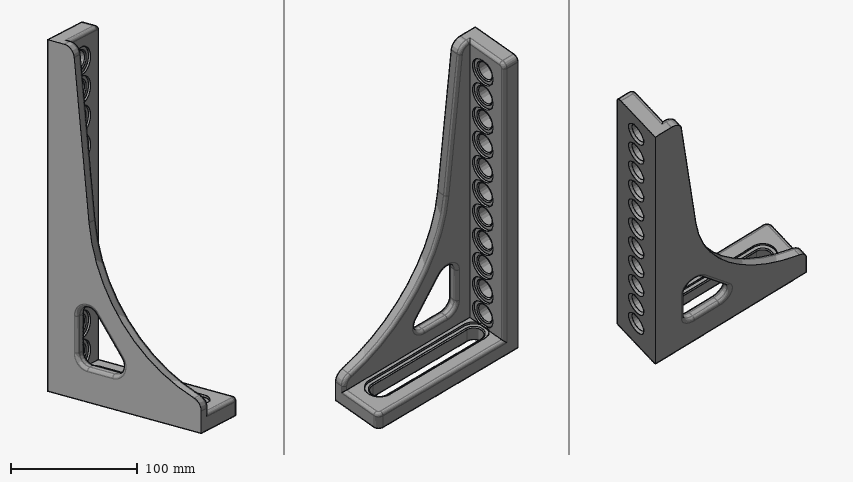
import cadquery as cq
import math

height = 300.0
length = height / 2
width = height / 6

wall_thickness = 15.0
web_thickness = 10.0
outer_corner_radius = 5.0
edge_fillet = 3.0

slope_angle = math.radians(6.0)
sweep_radius = 147.0
sweep_center_x = 186.5
sweep_center_z = 169.0
web_corner_radius = 10.0

hole_count = 11
hole_diameter = 16.0
hole_countersink = 2.0
hole_pitch = height / 12
top_hole_offset = 22.8

slot_width = hole_diameter
slot_length = 117.0

recess_margin = 4.0
recess_depth = 2.0
recess_lip_chamfer = 1.0

window_inset = 39.0
window_span_x = 24.5
window_span_z = 31.5
window_corner_radius = 10.0


def make_web():
    """Side web, lying on y = 0 and filling the angle between plate and foot."""
    tangent_x = sweep_center_x - sweep_radius * math.cos(slope_angle)
    tangent_z = sweep_center_z - sweep_radius * math.sin(slope_angle)
    top_x = tangent_x - (height - tangent_z) * math.tan(slope_angle)
    toe_angle = math.acos((sweep_center_x - length) / sweep_radius)
    toe_z = sweep_center_z - sweep_radius * math.sin(toe_angle)
    middle_angle = (slope_angle + toe_angle) / 2
    arc_middle = (
        sweep_center_x - sweep_radius * math.cos(middle_angle),
        sweep_center_z - sweep_radius * math.sin(middle_angle),
    )
    web = (
        cq.Workplane("XZ")
        .lineTo(length, 0)
        .lineTo(length, toe_z)
        .threePointArc(arc_middle, (tangent_x, tangent_z))
        .lineTo(top_x, height)
        .lineTo(0, height)
        .close()
        .extrude(-web_thickness)
    )
    middle_y = web_thickness / 2
    brow_edge = cq.selectors.NearestToPointSelector((top_x, middle_y, height))
    toe_edge = cq.selectors.NearestToPointSelector((length, middle_y, toe_z))
    return web.edges(brow_edge + toe_edge).fillet(web_corner_radius)


def make_plate():
    """Upright plate with its free top corner rounded."""
    plate = cq.Workplane("XY").box(wall_thickness, width, height, centered=False)
    return plate.edges("|X and >Y and >Z").fillet(outer_corner_radius)


def make_foot():
    """Horizontal foot with its free end corner rounded."""
    foot = cq.Workplane("XY").box(length, width, wall_thickness, centered=False)
    return foot.edges("|Z and >X and >Y").fillet(outer_corner_radius)


def round_rim(body):
    """Round the outer border of the three inner faces, keeping the inside corners between them sharp."""
    inner_planes = [
        cq.Plane(origin=(wall_thickness, 0, 0), normal=(1, 0, 0)),
        cq.Plane(origin=(0, web_thickness, 0), normal=(0, 1, 0)),
        cq.Plane(origin=(0, 0, wall_thickness), normal=(0, 0, 1)),
    ]
    tolerance = 0.001
    edges = []
    for face in body.faces("%PLANE").vals():
        for plane in inner_planes:
            facing = (face.normalAt() - plane.zDir).Length < tolerance
            if facing and abs(plane.toLocalCoords(face.Center()).z) < tolerance:
                edges += face.Edges()
    rim = [edge for edge in edges if sum(edge.isSame(other) for other in edges) == 1]
    return body.newObject(rim).fillet(edge_fillet)


def make_hole(z):
    """Cutter for one plate hole: countersunk outside, recessed with a chamfered lip inside."""
    radius = hole_diameter / 2
    lip_end = wall_thickness - recess_depth
    lip_start = lip_end - recess_lip_chamfer
    half_section = [
        (0, 0),
        (0, radius + hole_countersink),
        (hole_countersink, radius),
        (lip_start, radius),
        (lip_end, radius + recess_lip_chamfer),
        (lip_end, radius + recess_margin),
        (wall_thickness, radius + recess_margin),
        (wall_thickness, 0),
    ]
    cutter = cq.Workplane("XY").polyline(half_section).close().revolve(360, (0, 0), (1, 0))
    return cutter.translate((0, width / 2, z))


def make_slot():
    """Cutter for the foot slot, recessed with a chamfered lip on the upper side."""

    def slot_outline(z, margin):
        plane = cq.Workplane("XY", origin=(length / 2, width / 2, z))
        return plane.slot2D(slot_length + 2 * margin, slot_width + 2 * margin)

    lip_end = wall_thickness - recess_depth
    slot = slot_outline(0, 0).extrude(wall_thickness)
    lip = slot_outline(lip_end, recess_lip_chamfer).extrude(-recess_lip_chamfer, taper=45)
    recess = slot_outline(lip_end, recess_margin).extrude(recess_depth)
    return slot.union(lip).union(recess)


def cut_window(body):
    """Cut the rounded triangular window through the web and round both of its borders."""
    corners = [
        (window_inset, window_inset),
        (window_inset + window_span_x, window_inset),
        (window_inset, window_inset + window_span_z),
    ]
    opening = (
        cq.Workplane("XZ").polyline(corners).close().offset2D(window_corner_radius).extrude(-web_thickness)
    )
    clearance = 0.3
    low = window_inset - window_corner_radius - clearance
    high_x = window_inset + window_span_x + window_corner_radius + clearance
    high_z = window_inset + window_span_z + window_corner_radius + clearance
    window_zone = cq.selectors.BoxSelector(
        (low, -clearance, low), (high_x, web_thickness + clearance, high_z)
    )
    return body.cut(opening).edges(window_zone).fillet(edge_fillet)


result = round_rim(make_plate().union(make_foot()).union(make_web()))
result = cut_window(result)
for index in range(hole_count):
    result = result.cut(make_hole(height - top_hole_offset - index * hole_pitch))
result = result.cut(make_slot())